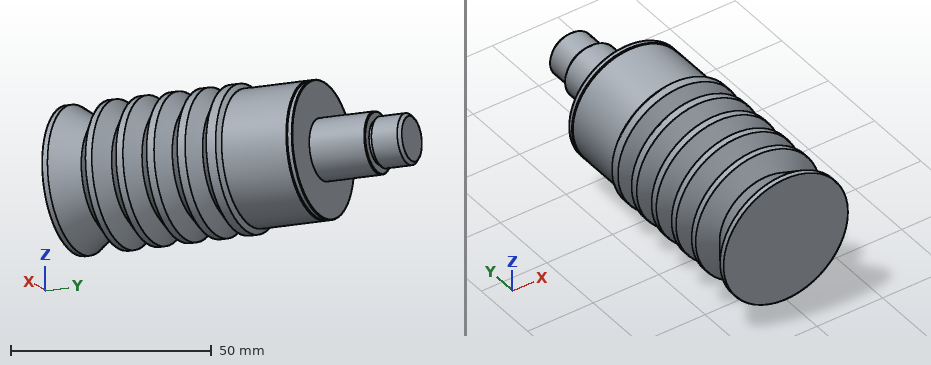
import cadquery as cq

total_length = 93.3

cup_radius = 38 / 2
lip_rim_length = 1.5

fold_count = 4
fold_pitch = 8.53
first_neck_y = 8.55
first_neck_radius = 14.2
neck_radius_step = 0.24
first_crest_start = 3.5
crest_start_step = 0.05
first_crest_length = 1.75
crest_length_step = 0.15

collar_length = 2.6
collar_chamfer_length = 1.0
body_radius = 35.3 / 2
body_start_y = 49.15
cap_length = 1.4
cap_chamfer = 0.2
groove_radius = 35 / 2
groove_width = 0.3
body_top_y = 68.75

shaft_radius = 16 / 2
shaft_top_y = 84.2
shaft_chamfer = 0.25

thread_radius = 13.16 / 2
thread_root_radius = 11.45 / 2
thread_length = 8.0
thread_chamfer = thread_radius - thread_root_radius


def bellows_points():
    """Radius and height of every neck and fold crest, from the lip upwards."""
    points = []
    for fold in range(fold_count):
        neck_y = first_neck_y + fold * fold_pitch
        crest_length = first_crest_length + fold * crest_length_step
        crest_y = neck_y + first_crest_start - fold * crest_start_step
        points.append((first_neck_radius + fold * neck_radius_step, neck_y))
        points.append((cup_radius, crest_y))
        points.append((cup_radius, crest_y + crest_length))
    last_neck_y = first_neck_y + fold_count * fold_pitch
    points.append((first_neck_radius + fold_count * neck_radius_step, last_neck_y))
    return points


def body_points():
    """Radius and height along the collar, the body, the ring groove and the cap."""
    groove_top_y = body_top_y - cap_length
    return [
        (cup_radius, body_start_y - collar_chamfer_length - collar_length),
        (cup_radius, body_start_y - collar_chamfer_length),
        (body_radius, body_start_y),
        (body_radius, groove_top_y - groove_width),
        (groove_radius, groove_top_y - groove_width),
        (groove_radius, groove_top_y),
        (body_radius, groove_top_y),
        (body_radius, body_top_y - cap_chamfer),
        (body_radius - cap_chamfer, body_top_y),
    ]


def shaft_points():
    """Radius and height along the shaft, the thread undercut and the threaded end."""
    thread_start_y = total_length - thread_length
    return [
        (shaft_radius, body_top_y),
        (shaft_radius, shaft_top_y - shaft_chamfer),
        (shaft_radius - shaft_chamfer, shaft_top_y),
        (thread_root_radius, shaft_top_y),
        (thread_root_radius, thread_start_y),
        (thread_radius, thread_start_y),
        (thread_radius, total_length - thread_chamfer),
        (thread_root_radius, total_length),
    ]


lip_points = [(0, 0), (cup_radius, 0), (cup_radius, lip_rim_length)]
profile = lip_points + bellows_points() + body_points() + shaft_points() + [(0, total_length)]
result = cq.Workplane("XY").polyline(profile).close().revolve(360, (0, 0, 0), (0, 1, 0))